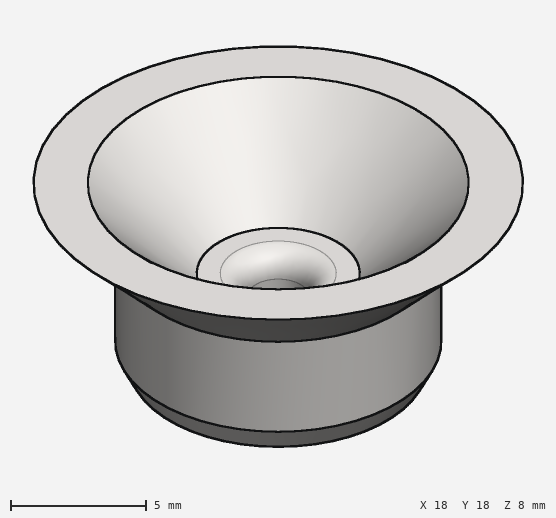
import cadquery as cq

rim_diameter = 18.0
total_height = 8.0

body_diameter = 12.0
flare_height = (rim_diameter - body_diameter) / 2
lead_in_height = 1.0
lead_in_inset = lead_in_height / 2

bowl_diameter = 14.0
floor_diameter = 6.0
bowl_depth = (bowl_diameter - floor_diameter) / 2
bore_diameter = 2.25
bore_mouth_radius = 1.0

rim_radius = rim_diameter / 2
body_radius = body_diameter / 2
bowl_radius = bowl_diameter / 2
floor_radius = floor_diameter / 2
bore_radius = bore_diameter / 2
floor_z = total_height - bowl_depth

half_section = (
    cq.Workplane("XZ")
    .moveTo(bore_radius, 0)
    .lineTo(body_radius - lead_in_inset, 0)
    .lineTo(body_radius, lead_in_height)
    .lineTo(body_radius, total_height - flare_height)
    .lineTo(rim_radius, total_height)
    .lineTo(bowl_radius, total_height)
    .lineTo(floor_radius, floor_z)
    .lineTo(bore_radius + bore_mouth_radius, floor_z)
    .radiusArc((bore_radius, floor_z - bore_mouth_radius), -bore_mouth_radius)
    .close()
)

result = half_section.revolve(360, (0, 0, 0), (0, 1, 0))